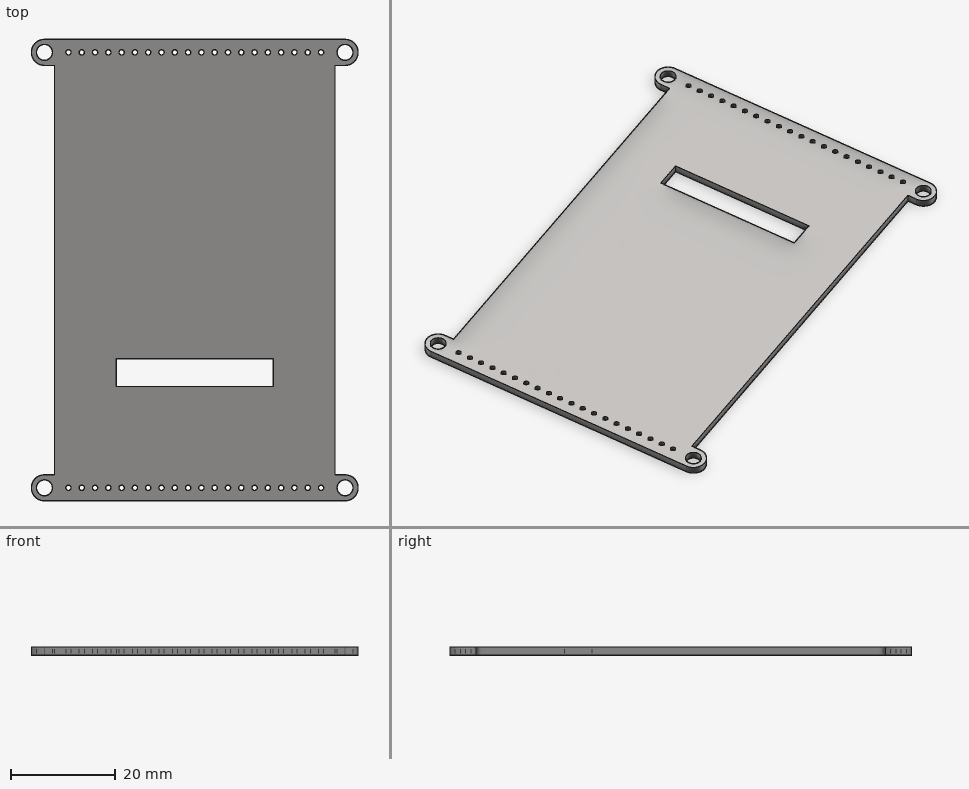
import cadquery as cq

length = 88.3
overall_width = 62.5
thickness = 1.6
body_width = 53.7

ear_diameter = 5.0
mount_hole_diameter = 3.0
mount_span_x = overall_width - ear_diameter
mount_span_y = length - ear_diameter

pin_hole_diameter = 1.0
pin_count = 20
pin_row_span = 48.3
pin_pitch = pin_row_span / (pin_count - 1)

window_width = 30.0
window_height = 5.3
window_center_y = -19.6


def make_plate():
    """Rectangular body with a round-ended strip across each short edge."""
    body = cq.Workplane("XY").rect(body_width, mount_span_y).extrude(thickness)
    strips = (
        cq.Workplane("XY")
        .rarray(0.9, mount_span_y, 1, 2)
        .slot2D(overall_width, ear_diameter)
        .extrude(thickness)
    )
    return body.union(strips)


def make_holes(columns, pitch, diameter):
    """Two rows of round cutters on the strip centre lines."""
    return (
        cq.Workplane("XY")
        .rarray(pitch, mount_span_y, columns, 2)
        .circle(diameter / 2)
        .extrude(thickness)
    )


def make_window():
    return (
        cq.Workplane("XY")
        .center(0, window_center_y)
        .rect(window_width, window_height)
        .extrude(thickness)
    )


result = (
    make_plate()
    .cut(make_holes(2, mount_span_x, mount_hole_diameter))
    .cut(make_holes(pin_count, pin_pitch, pin_hole_diameter))
    .cut(make_window())
)